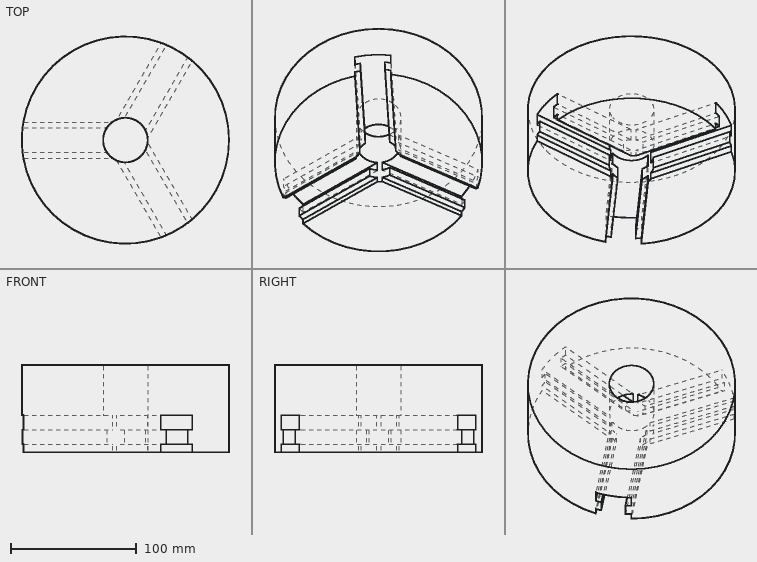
import cadquery as cq

body_diameter = 165.1
body_height = 69.7
bore_diameter = 35.3

slot_count = 3
first_slot_angle = 60.0
slot_depth = 29.5
slot_width = 28.5

rib_gap = 19.5
rib_bottom = 6.5
rib_top = 18.0

slot_length = 0.6 * body_diameter


def slot_layer(width, bottom, top):
    """Box from the axis outward along +X, spanning two heights."""
    layer = cq.Workplane("XY").box(slot_length, width, top - bottom, centered=(False, True, False))
    return layer.translate((0, 0, bottom))


def jaw_slot():
    """Space of one slot along +X, with its ribs left out."""
    mouth = slot_layer(slot_width, 0, rib_bottom)
    neck = slot_layer(rib_gap, rib_bottom, rib_top)
    head = slot_layer(slot_width, rib_top, slot_depth)
    return mouth.union(neck).union(head)


body = cq.Workplane("XY").circle(body_diameter / 2).circle(bore_diameter / 2).extrude(body_height)

for index in range(slot_count):
    angle = first_slot_angle + index * 360 / slot_count
    body = body.cut(jaw_slot().rotate((0, 0, 0), (0, 0, 1), angle))

result = body